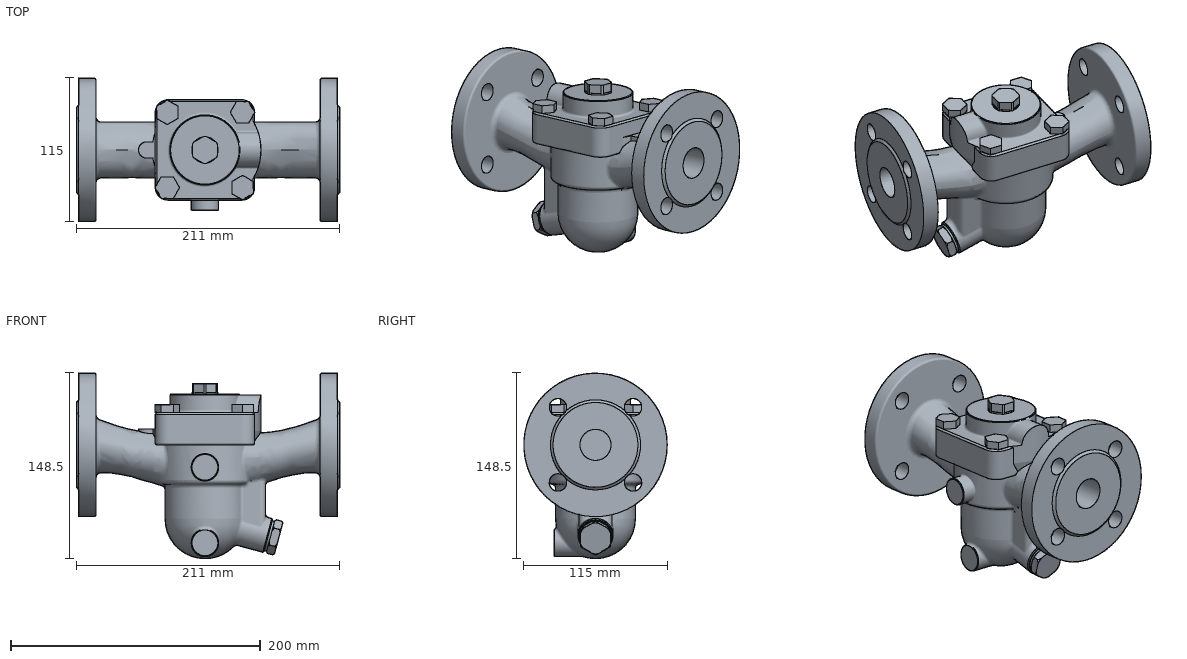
import cadquery as cq
import math

SEAM_MARGIN = 0.5

FACE_X = 105.5
FLANGE_DIA = 115.0
FLANGE_FRONT_X = 103.5
FLANGE_BACK_X = 89.7
FLANGE_EDGE_ROUND = 1.7
RAISED_FACE_DIA = 68.0
RAISED_FACE_FOOT_DIA = 72.2
BOLT_HOLE_DIA = 14.0
BOLT_CIRCLE_DIA = 85.0
BORE_DIA = 25.0
BORE_DEPTH = 29.5

NECK_WIDTH = 45.0
NECK_SECTIONS = [
    (FLANGE_BACK_X, 21.3, -22.8),
    (76.0, 16.2, -22.8),
    (54.9, 11.0, -27.6),
    (25.3, 10.5, -35.0),
]
NECK_ROOT_ROUND = 3.8
NECK_SEAM_ROUND = 3.2

BODY_X = -2.5
UPPER_BODY_RADIUS = 37.8
LOWER_BODY_RADIUS = 32.0
STEP_TOP_Z = -28.3
STEP_BOTTOM_Z = -34.8
DOME_CENTER_Z = -59.0

COVER_X = 79.8
COVER_Y = 80.5
COVER_BOTTOM_Z = 0.0
COVER_TOP_Z = 26.0
COVER_CORNER_RADIUS = 10.5
COVER_EDGE_ROUND = 1.5
COVER_TOP_CHAMFER = 1.5
COVER_BOLT_OFFSET = 30.2
COVER_BOLT_FLATS = 17.0
COVER_BOLT_TOP_Z = 32.3

CAP_RADIUS = 28.0
CAP_TOP_Z = 40.7
CAP_TOP_CHAMFER = 0.6
CAP_ROOT_ROUND = 2.0
PLUG_COLLAR_DIA = 21.0
PLUG_COLLAR_HEIGHT = 1.3
PLUG_FLATS = 19.8
PLUG_CORNER_DIA = 22.0
PLUG_TOP_Z = 49.0

PASSAGE_DIA = 28.0
PASSAGE_END_RADIUS = 45.0
PASSAGE_FOOT_RADIUS = 42.2
PASSAGE_FOOT_TOP_Z = 11.0
PASSAGE_FOOT_ROUND = 1.5
SHOULDER_WIDTH = 50.6
JOINT_Z = 12.9

PAD_WIDTH = 13.0
PAD_CENTER_X = -49.2

BOSS_DIA = 22.0
BOSS_END_CHAMFER = 0.6
UPPER_BOSS_Z = -18.0
UPPER_BOSS_END_Y = -48.5
LOWER_BOSS_Z = -78.5
LOWER_BOSS_END_Y = -33.3
UPPER_BOSS_ROOT_ROUND = 0.8
LOWER_BOSS_ROOT_ROUND = 2.5

TUBE_SLOPE = 15.0
TUBE_DIA = 28.0
TUBE_LENGTH = 52.5
TUBE_COLLAR_DIA = 25.0
TUBE_COLLAR_LENGTH = 2.0
TUBE_HEX_CORNER_DIA = 28.0
TUBE_HEX_LENGTH = 6.8
RIB_WIDTH = 26.2
RIB_END_X = 46.0
RIB_TOP_Z = -25.3
RIB_END_ROUND = 4.5
RIB_ROOT_ROUND = 3.4
TUBE_ROOT_ROUND = 3.8
TUBE_END_CHAMFER = 0.8
TUBE_HEX_CHAMFER = 1.3


def disc(radius, bottom, top):
    """Round block on the body axis."""
    return cq.Workplane("XY", origin=(BODY_X, 0, bottom)).circle(radius).extrude(top - bottom)


def hexagon(flats, bottom, top, center_x, center_y, turn):
    """Upright hexagonal head; a turn of 0 puts two corners along X."""
    corner_dia = flats / math.cos(math.pi / 6)
    head = cq.Workplane("XY").polygon(6, corner_dia).extrude(top - bottom)
    return head.rotate((0, 0, 0), (0, 0, 1), turn).translate((center_x, center_y, bottom))


def join_with_round(base, added, corner_low, corner_high, radius):
    """Fuse two pieces and round the seam edges that lie wholly inside the given box."""
    seam = cq.selectors.BoxSelector(corner_low, corner_high, boundingbox=True)
    return base.union(added).edges(seam).fillet(radius)


def make_inlet_arm():
    """Flange with its raised face, and neck, on the -X side."""
    flange = (
        cq.Workplane("YZ", origin=(-FLANGE_FRONT_X, 0, 0))
        .circle(FLANGE_DIA / 2)
        .extrude(FLANGE_FRONT_X - FLANGE_BACK_X)
        .faces(">X")
        .edges()
        .fillet(FLANGE_EDGE_ROUND)
    )
    raised_face = (
        cq.Workplane("YZ", origin=(-FACE_X, 0, 0))
        .circle(RAISED_FACE_DIA / 2)
        .workplane(offset=FACE_X - FLANGE_FRONT_X)
        .circle(RAISED_FACE_FOOT_DIA / 2)
        .loft()
    )
    sections = []
    for x, top, bottom in NECK_SECTIONS:
        plane = cq.Workplane("YZ", origin=(-x, 0, (top + bottom) / 2))
        sections.append(plane.ellipse(NECK_WIDTH / 2, (top - bottom) / 2).wires().val())
    neck = cq.Workplane(cq.Solid.makeLoft(sections))
    seam_reach = RAISED_FACE_DIA / 2
    arm = join_with_round(
        flange,
        neck,
        (-FLANGE_BACK_X - SEAM_MARGIN, -seam_reach, -seam_reach),
        (-FLANGE_BACK_X + SEAM_MARGIN, seam_reach, seam_reach),
        NECK_ROOT_ROUND,
    )
    bolt_holes = (
        cq.Workplane("YZ", origin=(-FACE_X, 0, 0))
        .polarArray(BOLT_CIRCLE_DIA / 2, 45, 360, 4)
        .circle(BOLT_HOLE_DIA / 2)
        .extrude(FACE_X - FLANGE_BACK_X)
    )
    return arm.union(raised_face).cut(bolt_holes)


def make_bore():
    """Blind bore in the -X flange face."""
    return cq.Workplane("YZ", origin=(-FACE_X, 0, 0)).circle(BORE_DIA / 2).extrude(BORE_DEPTH)


def make_body():
    """Stepped round body with a domed bottom."""
    waist_radius = (UPPER_BODY_RADIUS + LOWER_BODY_RADIUS) / 2
    waist_z = (STEP_TOP_Z + STEP_BOTTOM_Z) / 2
    dome_mid = LOWER_BODY_RADIUS * math.sqrt(0.5)
    return (
        cq.Workplane("XZ", origin=(BODY_X, 0, 0))
        .moveTo(0, COVER_TOP_Z)
        .lineTo(UPPER_BODY_RADIUS, COVER_TOP_Z)
        .lineTo(UPPER_BODY_RADIUS, STEP_TOP_Z)
        .tangentArcPoint((waist_radius, waist_z), relative=False)
        .tangentArcPoint((LOWER_BODY_RADIUS, STEP_BOTTOM_Z), relative=False)
        .lineTo(LOWER_BODY_RADIUS, DOME_CENTER_Z)
        .threePointArc((dome_mid, DOME_CENTER_Z - dome_mid), (0, DOME_CENTER_Z - LOWER_BODY_RADIUS))
        .close()
        .revolve(360, (0, 0, 0), (0, 1, 0))
    )


def make_cover():
    """Square cover joint, round cap and outlet passage."""
    plate = (
        cq.Workplane("XY", origin=(BODY_X, 0, COVER_BOTTOM_Z))
        .rect(COVER_X, COVER_Y)
        .extrude(COVER_TOP_Z - COVER_BOTTOM_Z)
        .edges("|Z")
        .fillet(COVER_CORNER_RADIUS)
        .faces(">Z")
        .chamfer(COVER_TOP_CHAMFER)
        .faces("<Z")
        .edges()
        .fillet(COVER_EDGE_ROUND)
    )
    shoulder = (
        cq.Workplane("XZ", origin=(BODY_X, 0, 0))
        .moveTo(0, COVER_BOTTOM_Z)
        .lineTo(PASSAGE_FOOT_RADIUS, COVER_BOTTOM_Z)
        .lineTo(PASSAGE_END_RADIUS, PASSAGE_FOOT_TOP_Z)
        .lineTo(PASSAGE_END_RADIUS, COVER_TOP_Z)
        .lineTo(0, COVER_TOP_Z)
        .close()
        .revolve(180, (0, 0, 0), (0, 1, 0))
        .rotate((BODY_X, 0, 0), (BODY_X, 0, 1), -90)
    )
    joint_ring = disc(PASSAGE_FOOT_RADIUS, COVER_BOTTOM_Z, JOINT_Z)
    shoulder_limit = (
        cq.Workplane("XY", origin=(BODY_X, 0, COVER_BOTTOM_Z))
        .rect(2 * COVER_X, SHOULDER_WIDTH)
        .extrude(COVER_TOP_Z - COVER_BOTTOM_Z)
    )
    shoulder = shoulder.union(joint_ring).intersect(shoulder_limit)
    tunnel = (
        cq.Workplane("YZ", origin=(BODY_X, 0, COVER_TOP_Z))
        .circle(PASSAGE_DIA / 2)
        .extrude(2 * PASSAGE_END_RADIUS)
        .intersect(disc(PASSAGE_END_RADIUS, PASSAGE_FOOT_TOP_Z, CAP_TOP_Z))
    )
    tunnel_foot = cq.selectors.BoxSelector(
        (BODY_X, -PASSAGE_DIA, COVER_TOP_Z - SEAM_MARGIN),
        (BODY_X + PASSAGE_END_RADIUS, PASSAGE_DIA, COVER_TOP_Z + SEAM_MARGIN),
    )
    cover = plate.union(shoulder).union(tunnel)
    cover = cover.edges("|X").edges(tunnel_foot).fillet(PASSAGE_FOOT_ROUND)
    cap = disc(CAP_RADIUS, COVER_BOTTOM_Z, CAP_TOP_Z).faces(">Z").chamfer(CAP_TOP_CHAMFER)
    seam_reach = CAP_RADIUS + SEAM_MARGIN
    seam_top = CAP_TOP_Z - CAP_TOP_CHAMFER
    return join_with_round(
        cover,
        cap,
        (BODY_X - seam_reach, -seam_reach, COVER_TOP_Z - SEAM_MARGIN),
        (BODY_X + seam_reach, seam_reach, seam_top),
        CAP_ROOT_ROUND,
    )


def make_boss(z, end_y):
    """Round boss from the body axis out to end_y."""
    return (
        cq.Workplane("XZ", origin=(BODY_X, 0, z))
        .circle(BOSS_DIA / 2)
        .extrude(-end_y)
        .faces("<Y")
        .chamfer(BOSS_END_CHAMFER)
    )


def make_tube():
    """Strainer tube with a collar and a chamfered hexagonal cap."""
    tube = (
        cq.Workplane("YZ")
        .circle(TUBE_DIA / 2)
        .extrude(TUBE_LENGTH)
        .faces(">X")
        .chamfer(TUBE_END_CHAMFER)
    )
    head_start = TUBE_LENGTH + TUBE_COLLAR_LENGTH
    collar = cq.Workplane("YZ").circle(TUBE_COLLAR_DIA / 2).extrude(head_start)
    head = (
        cq.Workplane("YZ", origin=(head_start, 0, 0))
        .transformed(rotate=(0, 0, 90))
        .polygon(6, TUBE_HEX_CORNER_DIA)
        .extrude(TUBE_HEX_LENGTH)
    )
    head_limit = (
        cq.Workplane("YZ", origin=(head_start, 0, 0))
        .circle(TUBE_HEX_CORNER_DIA / 2)
        .extrude(TUBE_HEX_LENGTH)
        .edges()
        .chamfer(TUBE_HEX_CHAMFER)
    )
    tube = tube.union(collar).union(head.intersect(head_limit))
    return tube.rotate((0, 0, 0), (0, 1, 0), TUBE_SLOPE).translate((BODY_X, 0, DOME_CENTER_Z))


def make_rib():
    """Upright rib between the outlet neck and the strainer tube."""
    length = RIB_END_X - BODY_X
    bottom = DOME_CENTER_Z - length * math.tan(math.radians(TUBE_SLOPE))
    return (
        cq.Workplane("XZ", origin=(0, RIB_WIDTH / 2, 0))
        .moveTo(BODY_X, RIB_TOP_Z)
        .lineTo(RIB_END_X, RIB_TOP_Z)
        .lineTo(RIB_END_X, bottom)
        .lineTo(BODY_X, DOME_CENTER_Z)
        .close()
        .extrude(RIB_WIDTH)
        .edges("|Z and >X")
        .fillet(RIB_END_ROUND)
    )


def make_pad():
    """Flat pad with a round end, running back into the cover."""
    half = PAD_WIDTH / 2
    pad = cq.Workplane("XY", origin=(PAD_CENTER_X, 0, 0)).circle(half).extrude(JOINT_Z)
    bar_length = BODY_X - COVER_X / 2 - PAD_CENTER_X
    bar = (
        cq.Workplane("XY", origin=(PAD_CENTER_X, -half, 0))
        .rect(bar_length, PAD_WIDTH, centered=False)
        .extrude(JOINT_Z)
    )
    return pad.union(bar)


def make_plug():
    """Collar and hexagonal head with trimmed corners."""
    collar = disc(PLUG_COLLAR_DIA / 2, CAP_TOP_Z, CAP_TOP_Z + PLUG_COLLAR_HEIGHT)
    head = hexagon(PLUG_FLATS, CAP_TOP_Z, PLUG_TOP_Z, BODY_X, 0, 90)
    return collar.union(head.intersect(disc(PLUG_CORNER_DIA / 2, CAP_TOP_Z, PLUG_TOP_Z)))


def make_cover_bolts():
    """Four corner bolts; the heads on one diagonal are turned a quarter turn from the others."""
    bolts = cq.Workplane("XY")
    for side_x in (-1, 1):
        for side_y in (-1, 1):
            turn = 0 if side_x == side_y else 90
            x = BODY_X + side_x * COVER_BOLT_OFFSET
            y = side_y * COVER_BOLT_OFFSET
            bolts = bolts.add(hexagon(COVER_BOLT_FLATS, COVER_TOP_Z, COVER_BOLT_TOP_Z, x, y, turn))
    return bolts.combine()


inlet_arm = make_inlet_arm()

body_bottom_z = DOME_CENTER_Z - LOWER_BODY_RADIUS
result = join_with_round(
    make_body(),
    make_tube(),
    (LOWER_BODY_RADIUS / 2, -LOWER_BODY_RADIUS, body_bottom_z),
    (LOWER_BODY_RADIUS, LOWER_BODY_RADIUS, STEP_BOTTOM_Z),
    TUBE_ROOT_ROUND,
)
result = join_with_round(
    result,
    make_rib(),
    (BODY_X, -LOWER_BODY_RADIUS, DOME_CENTER_Z - RIB_ROOT_ROUND),
    (LOWER_BODY_RADIUS, LOWER_BODY_RADIUS, STEP_BOTTOM_Z + SEAM_MARGIN),
    RIB_ROOT_ROUND,
)

for boss_z, boss_end_y, root_round in (
    (UPPER_BOSS_Z, UPPER_BOSS_END_Y, UPPER_BOSS_ROOT_ROUND),
    (LOWER_BOSS_Z, LOWER_BOSS_END_Y, LOWER_BOSS_ROOT_ROUND),
):
    result = join_with_round(
        result,
        make_boss(boss_z, boss_end_y),
        (BODY_X - BOSS_DIA, boss_end_y + 2 * BOSS_END_CHAMFER, boss_z - BOSS_DIA),
        (BODY_X + BOSS_DIA, 0, boss_z + BOSS_DIA),
        root_round,
    )

seam_half_width = NECK_WIDTH / 2 + SEAM_MARGIN
seam_reaches = (UPPER_BODY_RADIUS / 2, UPPER_BODY_RADIUS + SEAM_MARGIN)
for arm, side_x in ((inlet_arm, -1), (inlet_arm.mirror("YZ"), 1)):
    seam_ends = sorted(BODY_X + side_x * reach for reach in seam_reaches)
    result = join_with_round(
        result,
        arm,
        (seam_ends[0], -seam_half_width, STEP_TOP_Z - SEAM_MARGIN),
        (seam_ends[1], seam_half_width, JOINT_Z),
        NECK_SEAM_ROUND,
    )

result = result.union(make_pad()).union(make_cover()).union(make_plug()).union(make_cover_bolts())

bore = make_bore()
result = result.cut(bore).cut(bore.mirror("YZ"))